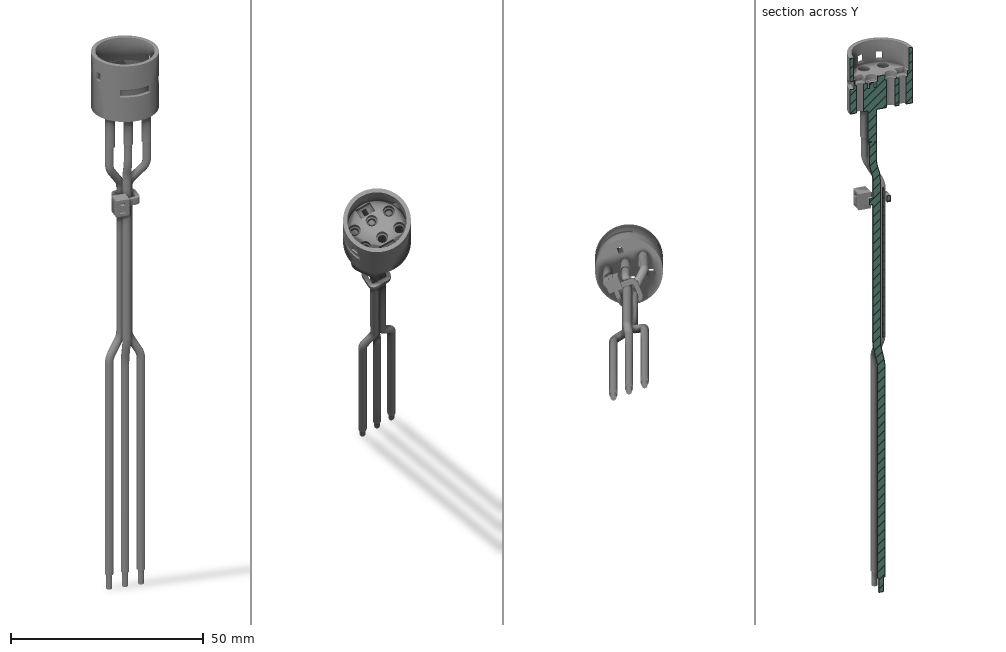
import cadquery as cq
import math

TOTAL_LENGTH = 156.0

CUP_DIAMETER = 17.6
CUP_BORE = 15.5
CUP_HEIGHT = 16.2
INSERT_DEPTH = 6.5

WINDOW_WIDTH = 1.9
WINDOW_HEIGHT = 2.3
WINDOW_DEPTH = 4.7
WINDOW_X = 2.7

LATCH_WIDTH = 8.3
LATCH_HEIGHT = 2.2
LATCH_DEPTH = 8.0

HOLE_X = 2.7
HOLE_PITCH = 5.1
HOLE_DIAMETER = 2.3
HOLE_MOUTH_DIAMETER = 3.1
HOLE_MOUTH_DEPTH = 1.5
SOCKET_DEPTH = 3.1

POCKET_X = 6.0
POCKET_LENGTH = 2.8
POCKET_WIDTH = 4.4
POCKET_DEPTH = 1.5
BLADE_SLOT_LENGTH = 1.9
BLADE_SLOT_WIDTH = 1.4

WIRE_DIAMETER = 2.2
CORE_DIAMETER = 1.5
CORE_LENGTH = 4.2
SLEEVE_DIAMETER = 2.5
SLEEVE_END = 25.9
SLEEVE_X = 2.5
SLEEVE_PITCH = 5.0
WIRE_X = 2.3
WIRE_PITCH = 5.1
SPREAD_PITCH = 4.4
BUNDLE_SQUEEZE = 0.06
BUNDLE_SPACING = WIRE_DIAMETER - BUNDLE_SQUEEZE
BUNDLE_CENTER_X = 0.08
SIDE_TURNS = (32.5, 38.4, 83.1, 88.9)
MIDDLE_TURNS = (32.1, 35.3, 84.4, 89.9)
BEND_REACH = 1.4

TIE_DEPTH = 42.6
TIE_WIDTH = 1.9
TIE_THICKNESS = 1.1
TIE_X = (-2.7, 3.5)
TIE_Y = 3.3
TIE_CORNER = 1.5
TIE_TAIL_X = 6.4
HEAD_X = (2.5, 6.0)
HEAD_Y = (-4.5, -0.8)
HEAD_HEIGHT = 4.7
HEAD_SLOT_WIDTH = 1.5
HEAD_SLOT_HEIGHT = 3.1


def box(x_range, y_range, z_center, height):
    """A box between the given X and Y limits, centred on one height."""
    size_x = x_range[1] - x_range[0]
    size_y = y_range[1] - y_range[0]
    middle = (sum(x_range) / 2, sum(y_range) / 2, z_center)
    return cq.Workplane("XY").box(size_x, size_y, height).translate(middle)


def rod(x, y, diameter, z_top, z_bottom):
    """A vertical round bar."""
    return cq.Workplane("XY", origin=(x, y, z_bottom)).circle(diameter / 2).extrude(z_top - z_bottom)


def make_cup():
    cup = rod(0, 0, CUP_DIAMETER, 0, -CUP_HEIGHT)
    cup = cup.cut(rod(0, 0, CUP_BORE, 0, -INSERT_DEPTH))

    for x in (-WINDOW_X, WINDOW_X):
        window = cq.Workplane("XY").box(WINDOW_WIDTH, CUP_DIAMETER, WINDOW_HEIGHT)
        cup = cup.cut(window.translate((x, 0, -WINDOW_DEPTH)))

    wall = CUP_DIAMETER / 2
    half = LATCH_WIDTH / 2
    latch = box((0, wall), (-half, half), -LATCH_DEPTH, LATCH_HEIGHT)
    latch = latch.cut(rod(0, 0, CUP_BORE, 0, -CUP_HEIGHT))
    for angle in (0, 90):
        cup = cup.cut(latch.rotate((0, 0, 0), (0, 0, 1), angle))
    return cup


def cut_contacts(cup):
    floor = -INSERT_DEPTH
    for row in (-1, 0, 1):
        y = row * HOLE_PITCH
        for x in (-HOLE_X, HOLE_X):
            cup = cup.cut(rod(x, y, HOLE_MOUTH_DIAMETER, floor, floor - HOLE_MOUTH_DEPTH))
        cup = cup.cut(rod(-HOLE_X, y, HOLE_DIAMETER, floor, -CUP_HEIGHT))
        cup = cup.cut(rod(HOLE_X, y, HOLE_DIAMETER, floor, floor - SOCKET_DEPTH))
        cup = cup.union(rod(HOLE_X, y, CORE_DIAMETER, floor - HOLE_MOUTH_DEPTH, floor - SOCKET_DEPTH))

    for x in (-POCKET_X, POCKET_X):
        pocket = cq.Workplane("XY").box(POCKET_LENGTH, POCKET_WIDTH, 2 * POCKET_DEPTH)
        slot = cq.Workplane("XY").box(BLADE_SLOT_LENGTH, BLADE_SLOT_WIDTH, 2 * CUP_HEIGHT)
        cup = cup.cut(pocket.translate((x, 0, floor)))
        cup = cup.cut(slot.translate((x, 0, floor - CUP_HEIGHT)))
    return cup


def rounded_path(points):
    """A path through the points, with each inner corner replaced by a tangent arc."""
    corners = [cq.Vector(*p) for p in points]
    edges = []
    start = corners[0]
    for before, corner, after in zip(corners, corners[1:], corners[2:]):
        back = (before - corner).normalized()
        ahead = (after - corner).normalized()
        arc_start = corner + back * BEND_REACH
        arc_end = corner + ahead * BEND_REACH
        half_angle = back.getAngle(ahead) / 2
        gap = BEND_REACH * (1 - math.sin(half_angle)) / math.cos(half_angle)
        arc_middle = corner + (back + ahead).normalized() * gap
        edges.append(cq.Edge.makeLine(start, arc_start))
        edges.append(cq.Edge.makeThreePointArc(arc_start, arc_middle, arc_end))
        start = arc_end
    edges.append(cq.Edge.makeLine(start, corners[-1]))
    return cq.Workplane(cq.Wire.assembleEdges(edges))


def make_wire(row):
    """One wire; row is -1 or 1 for a side wire and 0 for the middle one."""
    top = -(INSERT_DEPTH + SOCKET_DEPTH)
    insulation_end = CORE_LENGTH - TOTAL_LENGTH
    triangle_height = BUNDLE_SPACING * math.sqrt(3) / 2
    if row == 0:
        leave, join, part, hang = MIDDLE_TURNS
        bundle_x = BUNDLE_CENTER_X + 2 * triangle_height / 3
    else:
        leave, join, part, hang = SIDE_TURNS
        bundle_x = BUNDLE_CENTER_X - triangle_height / 3
    bundle_y = row * BUNDLE_SPACING / 2
    start_y = row * WIRE_PITCH
    end_y = row * SPREAD_PITCH

    points = [
        (WIRE_X, start_y, top),
        (WIRE_X, start_y, -leave),
        (bundle_x, bundle_y, -join),
        (bundle_x, bundle_y, -part),
        (0, end_y, -hang),
        (0, end_y, insulation_end),
    ]
    profile = cq.Workplane("XY", origin=points[0]).circle(WIRE_DIAMETER / 2)
    wire = profile.sweep(rounded_path(points))
    core = rod(0, end_y, CORE_DIAMETER, insulation_end, -TOTAL_LENGTH)
    sleeve = rod(SLEEVE_X, row * SLEEVE_PITCH, SLEEVE_DIAMETER, top, -SLEEVE_END)
    return wire.union(core).union(sleeve)


def make_tie():
    height = -TIE_DEPTH
    outer = box(TIE_X, (-TIE_Y, TIE_Y), height, TIE_WIDTH).edges("|Z").fillet(TIE_CORNER)
    inner_x = (TIE_X[0] + TIE_THICKNESS, TIE_X[1] - TIE_THICKNESS)
    inner_y = TIE_Y - TIE_THICKNESS
    inner = box(inner_x, (-inner_y, inner_y), height, TIE_WIDTH)
    loop = outer.cut(inner.edges("|Z").fillet(TIE_CORNER - TIE_THICKNESS))

    tail_y = (-TIE_Y, -inner_y)
    slot_center = sum(tail_y) / 2
    slot_y = (slot_center - HEAD_SLOT_WIDTH / 2, slot_center + HEAD_SLOT_WIDTH / 2)
    head = box(HEAD_X, HEAD_Y, height, HEAD_HEIGHT)
    head = head.cut(box(HEAD_X, slot_y, height, HEAD_SLOT_HEIGHT))
    tail = box((0, TIE_TAIL_X), tail_y, height, TIE_WIDTH)
    return loop.union(head).union(tail)


result = cut_contacts(make_cup())
for wire_row in (-1, 0, 1):
    result = result.union(make_wire(wire_row))
result = result.union(make_tie())